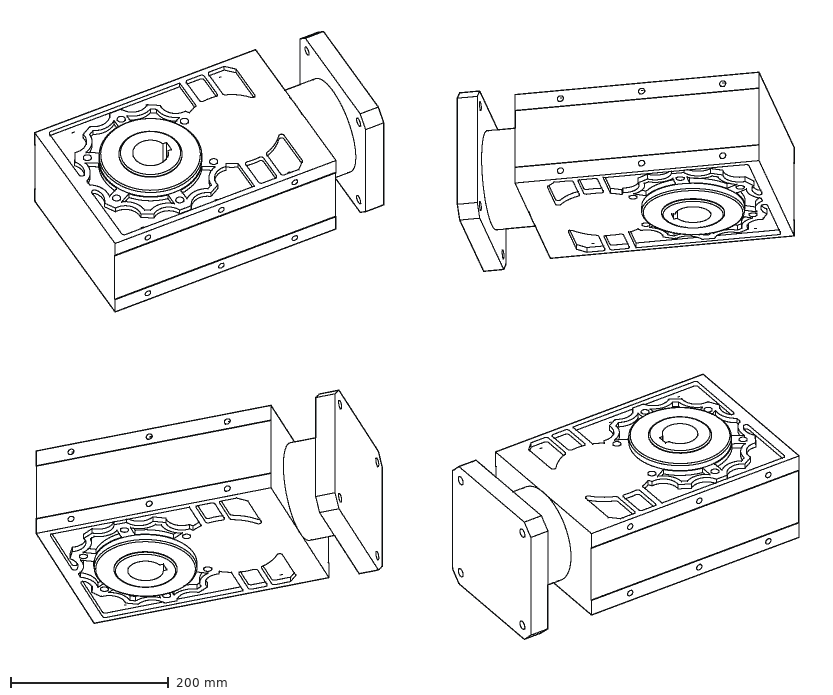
import cadquery as cq
import math


total_length = 394.5
housing_width = 220.0
housing_height = 125.0
housing_length = 315.5
shaft_to_front = 108.0
front_y = -shaft_to_front
rear_y = front_y + housing_length
half_height = housing_height / 2

band_height = 80.0
band_depth = 1.0

side_hole_diameter = 8.0
side_hole_depth = 15.8
side_hole_first_y = front_y + 47.0
side_hole_pitch = 105.0
side_hole_count = 3
side_hole_z = 51.0

neck_diameter = 126.2
flange_size = 180.0
flange_thickness = 26.0
flange_chamfer = 15.0
flange_hole_diameter = 11.0
flange_hole_spacing = 141.2
flange_front_y = front_y + total_length - flange_thickness

hub_diameter = 130.0
hub_seat_diameter = 132.0
hub_top_z = half_height + 9.5
collar_diameter = 80.0
collar_top_z = half_height + 12.2
rim_chamfer = 2.0
bore_diameter = 45.0
keyway_width = 14.0
keyway_top_y = 26.5

bolt_circle_radius = 80.0
bolt_hole_diameter = 10.3
bolt_hole_depth = 19.7
bolt_angles = range(0, 360, 60)
drill_point_angle = 118.0

pocket_depth = 6.7
pocket_floor_z = half_height - pocket_depth
pocket_half_width = 102.0
pocket_corner_radius = 3.5
gear_boss_y = 116.0
gear_boss_radius = 60.8
lower_pocket_y = (-92.7, 95.0)
middle_pocket_y = (103.0, 128.2)
upper_pocket_y = (134.5, 169.5)
upper_pocket_chamfer = 11.0

lobe_count = 12
lobe_pitch = 360 / lobe_count
lobe_apothem = 96.0
scallop_radius = 20.5
scallop_centre_radius = 106.5
wall_thickness = 7.0
bolt_rib_width = 18.0


def pocket_slab(x_min, x_max, y_range):
    """Rectangular block reaching from the pocket floor to the broad face."""
    y_min, y_max = y_range
    return (
        cq.Workplane("XY")
        .workplane(offset=pocket_floor_z)
        .moveTo((x_min + x_max) / 2, (y_min + y_max) / 2)
        .rect(x_max - x_min, y_max - y_min)
        .extrude(pocket_depth)
    )


def scalloped_plate(inset):
    """Twelve-sided plate with a round scallop between neighbouring lobes, offset inward by inset."""
    corner_radius = (lobe_apothem - inset) / math.cos(math.radians(lobe_pitch / 2))
    floor = cq.Workplane("XY").workplane(offset=pocket_floor_z)
    between_lobes = floor.polarArray(scallop_centre_radius, lobe_pitch / 2, 360, lobe_count)
    plate = (
        floor.transformed(rotate=(0, 0, lobe_pitch / 2))
        .polygon(lobe_count, 2 * corner_radius)
        .extrude(pocket_depth)
    )
    return plate.cut(between_lobes.circle(scallop_radius + inset).extrude(pocket_depth))


def blind_hole(diameter, depth):
    """Drilled hole with a conical end, running down from the origin along -Z."""
    radius = diameter / 2
    tip_length = radius / math.tan(math.radians(drill_point_angle / 2))
    profile = [(0, 0), (radius, 0), (radius, -depth), (0, -depth - tip_length)]
    return cq.Workplane("XZ").polyline(profile).close().revolve(360, (0, 0), (0, 1))


def both_faces(shape):
    """The shape together with its mirror image on the opposite broad face."""
    return shape.union(shape.mirror("XY"))


def both_sides(shape):
    """The shape together with its mirror image on the opposite side face."""
    return shape.union(shape.mirror("YZ"))


def make_housing():
    block = cq.Workplane("XY").box(housing_width, housing_length, housing_height)
    band = (
        cq.Workplane("XY")
        .box(band_depth, housing_length, band_height)
        .translate(((housing_width - band_depth) / 2, 0, 0))
    )
    return block.cut(both_sides(band)).translate((0, (front_y + rear_y) / 2, 0))


def make_side_holes():
    hole = blind_hole(side_hole_diameter, side_hole_depth).rotate((0, 0, 0), (0, 1, 0), 90)
    holes = cq.Workplane("XY")
    for index in range(side_hole_count):
        hole_y = side_hole_first_y + index * side_hole_pitch
        holes = holes.add(hole.translate((housing_width / 2, hole_y, side_hole_z)))
    return both_faces(both_sides(holes.combine()))


def make_motor_side():
    neck = (
        cq.Workplane("XZ", origin=(0, rear_y, 0))
        .circle(neck_diameter / 2)
        .extrude(rear_y - flange_front_y)
    )
    flange = (
        cq.Workplane("XZ", origin=(0, flange_front_y, 0))
        .rect(flange_size, flange_size)
        .extrude(-flange_thickness)
        .edges("|Y")
        .chamfer(flange_chamfer)
    )
    flange_holes = (
        cq.Workplane("XZ", origin=(0, flange_front_y, 0))
        .rect(flange_hole_spacing, flange_hole_spacing, forConstruction=True)
        .vertices()
        .circle(flange_hole_diameter / 2)
        .extrude(-flange_thickness)
    )
    return neck.union(flange.cut(flange_holes))


def make_outer_pockets():
    """Pockets on the +X half of the upper face, outside the gear boss and the scalloped wall."""
    gear_boss = (
        cq.Workplane("XY", origin=(0, gear_boss_y, pocket_floor_z))
        .circle(gear_boss_radius)
        .extrude(pocket_depth)
    )
    lower = pocket_slab(0, pocket_half_width, lower_pocket_y).cut(gear_boss).cut(scalloped_plate(0))
    lower = lower.edges("|Z").edges("<Y").fillet(pocket_corner_radius)

    middle = pocket_slab(0, pocket_half_width, middle_pocket_y).cut(gear_boss)
    middle = middle.edges("|Z").fillet(pocket_corner_radius)

    upper = pocket_slab(0, pocket_half_width, upper_pocket_y)
    upper = upper.edges("|Z and >X and >Y").chamfer(upper_pocket_chamfer).cut(gear_boss)
    upper = upper.edges("|Z").edges("<X or <Y").fillet(pocket_corner_radius)
    return lower.union(middle).union(upper)


def make_inner_pockets():
    """Pockets between the hub seat and the scalloped wall, split by ribs that carry the bolt holes."""
    hub_seat = (
        cq.Workplane("XY", origin=(0, 0, pocket_floor_z))
        .circle(hub_seat_diameter / 2)
        .extrude(pocket_depth)
    )
    pockets = scalloped_plate(wall_thickness).cut(hub_seat)
    for angle in bolt_angles:
        rib = pocket_slab(0, lobe_apothem, (-bolt_rib_width / 2, bolt_rib_width / 2))
        pockets = pockets.cut(rib.rotate((0, 0, 0), (0, 0, 1), angle))
    sector_half_width = lobe_apothem * math.tan(math.radians(lobe_pitch))
    solid_sector = (
        cq.Workplane("XY", origin=(0, 0, pocket_floor_z))
        .polyline([(0, 0), (sector_half_width, lobe_apothem), (-sector_half_width, lobe_apothem)])
        .close()
        .extrude(pocket_depth)
    )
    return pockets.cut(solid_sector)


def make_hub():
    disc = cq.Workplane("XY").circle(hub_diameter / 2).extrude(hub_top_z)
    collar = cq.Workplane("XY").circle(collar_diameter / 2).extrude(collar_top_z)
    disc = disc.faces(">Z").edges().chamfer(rim_chamfer)
    collar = collar.faces(">Z").edges().chamfer(rim_chamfer)
    return both_faces(disc.union(collar))


def make_keyed_bore():
    bore = cq.Workplane("XY").circle(bore_diameter / 2).extrude(collar_top_z, both=True)
    keyway = (
        cq.Workplane("XY")
        .moveTo(0, keyway_top_y / 2)
        .rect(keyway_width, keyway_top_y)
        .extrude(collar_top_z, both=True)
    )
    return bore.union(keyway)


def make_bolt_holes():
    hole = blind_hole(bolt_hole_diameter, bolt_hole_depth).translate((bolt_circle_radius, 0, half_height))
    holes = cq.Workplane("XY")
    for angle in bolt_angles:
        holes = holes.add(hole.rotate((0, 0, 0), (0, 0, 1), angle))
    return both_faces(holes.combine())


result = (
    make_housing()
    .union(make_motor_side())
    .cut(both_faces(both_sides(make_outer_pockets())))
    .cut(both_faces(make_inner_pockets()))
    .union(make_hub())
    .cut(make_keyed_bore())
    .cut(make_bolt_holes())
    .cut(make_side_holes())
)